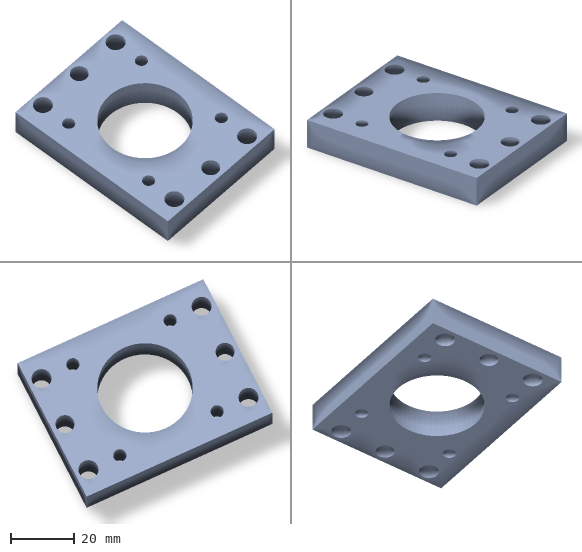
import cadquery as cq

length = 65.0
width = 50.0
thickness = 10.0

bore_diameter = 30.1
small_hole_diameter = 4.15
corner_hole_diameter = 6.3
middle_hole_diameter = 6.0

small_hole_offset = 17.0
side_hole_x = 28.0
corner_hole_y = small_hole_offset


def mirrored_points(x, y):
    """The four points at (+-x, +-y)."""
    return [(sx * x, sy * y) for sx in (-1, 1) for sy in (-1, 1)]


def drill(body, points, diameter):
    """Cut through holes of one diameter from the top face."""
    return body.faces(">Z").workplane(origin=(0, 0, 0)).pushPoints(points).hole(diameter)


plate = cq.Workplane("XY").box(length, width, thickness)

plate = drill(plate, [(0, 0)], bore_diameter)
plate = drill(plate, mirrored_points(small_hole_offset, small_hole_offset), small_hole_diameter)
plate = drill(plate, mirrored_points(side_hole_x, corner_hole_y), corner_hole_diameter)
plate = drill(plate, [(-side_hole_x, 0), (side_hole_x, 0)], middle_hole_diameter)

result = plate